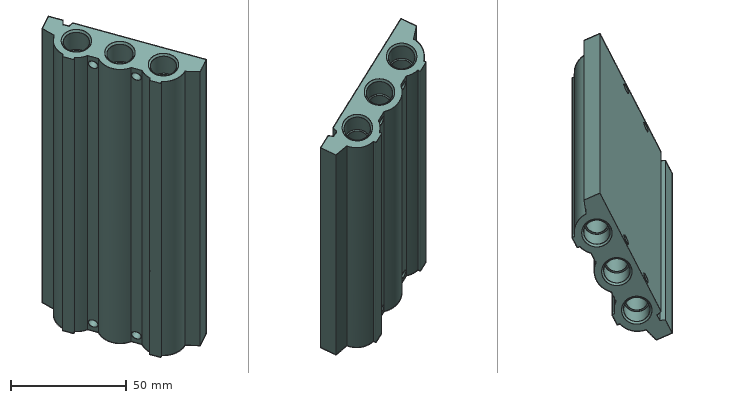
import cadquery as cq
import math

width = 73.0
depth = 20.0
length = 178.0
back_y = depth / 2
front_y = -depth / 2

bore_pitch = 20.1
bore_xs = (-bore_pitch, 0.0, bore_pitch)
bore_y = back_y - 9.3
lobe_y = back_y - 8.9
lobe_radius = 10.1
bore_diameter = 10.0
port_diameter = 11.4
port_mouth_diameter = 13.2
port_depth = 12.0

valley_y = back_y - 15.7
flange_edge_y = back_y - 7.7
flange_root_y = back_y - 9.6

rail_width = 5.3
rail_edge_radius = 0.3

groove_x = -27.5
groove_mouth_width = 4.5
groove_floor_width = 2.7
groove_depth = 2.3

hole_diameter = 4.5
hole_spacing = 20.0
hole_end_distance = 5.0


def make_body():
    """Flanged plate whose front carries the three lobes."""
    lobe_half_valley = math.sqrt(lobe_radius**2 - (lobe_y - valley_y) ** 2)
    lobe_half_root = math.sqrt(lobe_radius**2 - (lobe_y - flange_root_y) ** 2)
    root_x = bore_pitch + lobe_half_root
    diagonal = lobe_radius / math.sqrt(2)
    lobe_front_y = lobe_y - lobe_radius
    outer_mid_y = lobe_y - diagonal
    return (
        cq.Workplane("XY")
        .moveTo(-width / 2, back_y)
        .lineTo(-width / 2, flange_edge_y)
        .lineTo(-root_x, flange_root_y)
        .threePointArc((-bore_pitch - diagonal, outer_mid_y), (-bore_pitch + lobe_half_valley, valley_y))
        .lineTo(-lobe_half_valley, valley_y)
        .threePointArc((0, lobe_front_y), (lobe_half_valley, valley_y))
        .lineTo(bore_pitch - lobe_half_valley, valley_y)
        .threePointArc((bore_pitch + diagonal, outer_mid_y), (root_x, flange_root_y))
        .lineTo(width / 2, flange_edge_y)
        .lineTo(width / 2, back_y)
        .close()
        .extrude(length)
    )


def make_rail(x):
    """Rail along an outer lobe, rooted inside it, with rounded front edges."""
    return (
        cq.Workplane("XY")
        .center(x, (valley_y + front_y) / 2)
        .rect(rail_width, valley_y - front_y)
        .extrude(length)
        .edges("|Z and <Y")
        .fillet(rail_edge_radius)
    )


def make_bore(x):
    """Through bore with a wider, countersunk port at each end."""
    bore_radius = bore_diameter / 2
    port_radius = port_diameter / 2
    mouth_radius = port_mouth_diameter / 2
    countersink = mouth_radius - port_radius
    profile = [
        (0, 0),
        (mouth_radius, 0),
        (port_radius, countersink),
        (port_radius, port_depth),
        (bore_radius, port_depth),
        (bore_radius, length - port_depth),
        (port_radius, length - port_depth),
        (port_radius, length - countersink),
        (mouth_radius, length),
        (0, length),
    ]
    bore = cq.Workplane("XZ").polyline(profile).close().revolve(360, (0, 0), (0, 1))
    return bore.translate((x, bore_y, 0))


def make_groove():
    """Tapered groove along the whole back face."""
    floor_y = back_y - groove_depth
    return (
        cq.Workplane("XY")
        .moveTo(groove_x - groove_mouth_width / 2, back_y)
        .lineTo(groove_x - groove_floor_width / 2, floor_y)
        .lineTo(groove_x + groove_floor_width / 2, floor_y)
        .lineTo(groove_x + groove_mouth_width / 2, back_y)
        .close()
        .extrude(length)
    )


def make_mounting_holes():
    """Four holes from front to back, two near each end of the valleys."""
    return (
        cq.Workplane("XZ", origin=(0, back_y, length / 2))
        .rarray(hole_spacing, length - 2 * hole_end_distance, 2, 2)
        .circle(hole_diameter / 2)
        .extrude(depth)
    )


result = make_body()
for rail_x in (-bore_pitch, bore_pitch):
    result = result.union(make_rail(rail_x))
for bore_x in bore_xs:
    result = result.cut(make_bore(bore_x))
result = result.cut(make_groove()).cut(make_mounting_holes())
result = result.translate((0, 0, -length / 2))